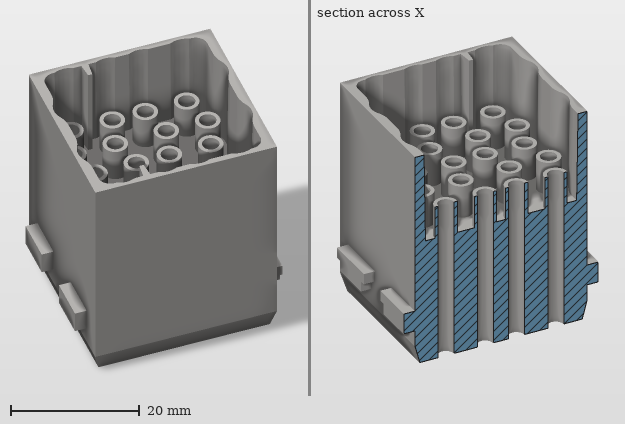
import cadquery as cq
import math

body_x = 29.3
body_y = 30.2
height = 37.55
foot_height = 3.15
foot_draft = 15.0

tab_depth = 1.95
tab_pitch = body_x / 2
tab_bottom = 5.97
tab_height = 3.68
tab_top = tab_bottom + tab_height
tab_width = 7.05
back_tab_head_width = 9.05

column_pitch = 5.3
inner_row_y = 2.75
outer_row_y = 9.6
stagger = 1.5
tube_diameter = 3.98
bore_diameter = 2.7
floor_z = 21.9
tube_top_z = 27.55

cavity_half_x = 13.63
cavity_half_y = 13.45
cavity_corner_radius = 1.9
cavity_draft = 0.9
side_relief_radius = 3.4
end_relief_radius = 3.3
relief_blend_radius = 4.5

rib_y = -6.15
rib_tip_x = 11.25
rib_base_width = 1.28
rib_tip_width = 0.7

cavity_depth = height - floor_z


def contact_positions():
    """Centres of the contact tubes, column by column."""
    points = []
    for column in range(-2, 3):
        shift = stagger if column % 2 else 0.0
        for row_y in (inner_row_y, outer_row_y):
            for side in (-1, 1):
                points.append((column * column_pitch, side * (row_y + shift)))
    return points


def make_body():
    """Rectangular block whose foot narrows towards the bottom."""
    foot = (
        cq.Workplane("XY")
        .workplane(offset=foot_height)
        .rect(body_x, body_y)
        .extrude(-foot_height, taper=foot_draft)
    )
    block = (
        cq.Workplane("XY")
        .workplane(offset=foot_height)
        .rect(body_x, body_y)
        .extrude(height - foot_height)
    )
    return block.union(foot)


def make_tabs(side, width, bottom):
    """Pair of tabs rising from a given height on one Y face; side is -1 for front, +1 for back."""
    return (
        cq.Workplane("XY")
        .workplane(offset=bottom)
        .pushPoints([(end * tab_pitch / 2, side * body_y / 2) for end in (-1, 1)])
        .rect(width, 2 * tab_depth)
        .extrude(tab_top - bottom)
    )


def end_relief(centre_x, centre_y):
    """Points along one smooth bulge of the +Y end wall, in order of rising X.

    An arc centred on the nearby tube is joined to the flat wall by two
    tangent arcs of the blend radius.
    """
    join = end_relief_radius + relief_blend_radius
    blend_y = cavity_half_y + relief_blend_radius
    half_span = math.sqrt(join**2 - (blend_y - centre_y) ** 2)
    share = end_relief_radius / join
    knee_x = half_span * share
    knee_y = centre_y + (blend_y - centre_y) * share
    half_angle = math.atan2(half_span, blend_y - centre_y) / 2
    middle_x = half_span - relief_blend_radius * math.sin(half_angle)
    middle_y = blend_y - relief_blend_radius * math.cos(half_angle)
    return [
        (centre_x - half_span, cavity_half_y),
        (centre_x - middle_x, middle_y),
        (centre_x - knee_x, knee_y),
        (centre_x, centre_y + end_relief_radius),
        (centre_x + knee_x, knee_y),
        (centre_x + middle_x, middle_y),
        (centre_x + half_span, cavity_half_y),
    ]


def make_cavity():
    """Drafted cavity with reliefs beside the outer tubes."""
    corner_x = cavity_half_x - cavity_corner_radius
    corner_y = cavity_half_y - cavity_corner_radius
    corner_bow = cavity_corner_radius * math.sqrt(0.5)
    relief_x = 2 * column_pitch
    relief_half = math.sqrt(side_relief_radius**2 - (cavity_half_x - relief_x) ** 2)

    outline = cq.Workplane("XY").workplane(offset=height).moveTo(-corner_x, cavity_half_y)
    for turn in (1, -1):
        for column in (-1, 1):
            points = [
                (x * turn, y * turn)
                for x, y in end_relief(column * column_pitch, outer_row_y + stagger)
            ]
            outline = outline.lineTo(*points[0])
            for index in (1, 3, 5):
                outline = outline.threePointArc(points[index], points[index + 1])
        outline = outline.lineTo(turn * corner_x, turn * cavity_half_y)
        outline = outline.threePointArc(
            (turn * (corner_x + corner_bow), turn * (corner_y + corner_bow)),
            (turn * cavity_half_x, turn * corner_y),
        )
        for row_y in (outer_row_y, inner_row_y, -inner_row_y, -outer_row_y):
            outline = outline.lineTo(turn * cavity_half_x, turn * (row_y + relief_half))
            outline = outline.threePointArc(
                (turn * (relief_x + side_relief_radius), turn * row_y),
                (turn * cavity_half_x, turn * (row_y - relief_half)),
            )
        outline = outline.lineTo(turn * cavity_half_x, -turn * corner_y)
        outline = outline.threePointArc(
            (turn * (corner_x + corner_bow), -turn * (corner_y + corner_bow)),
            (turn * corner_x, -turn * cavity_half_y),
        )
    return outline.close().extrude(-cavity_depth, taper=cavity_draft)


def make_rib(side):
    """Tapered guide rib on one X wall, running from floor to rim."""
    root_x = (cavity_half_x + body_x / 2) / 2
    return (
        cq.Workplane("XY")
        .workplane(offset=floor_z)
        .polyline(
            [
                (side * root_x, rib_y - rib_base_width / 2),
                (side * rib_tip_x, rib_y - rib_tip_width / 2),
                (side * rib_tip_x, rib_y + rib_tip_width / 2),
                (side * root_x, rib_y + rib_base_width / 2),
            ]
        )
        .close()
        .extrude(cavity_depth)
    )


def contact_cylinders(diameter, bottom, top):
    """One cylinder per contact position between two heights."""
    return (
        cq.Workplane("XY")
        .workplane(offset=bottom)
        .pushPoints(contact_positions())
        .circle(diameter / 2)
        .extrude(top - bottom)
    )


result = make_body().cut(make_cavity())
for side in (-1, 1):
    result = result.union(make_rib(side))
    result = result.union(make_tabs(side, tab_width, tab_bottom))
result = result.union(make_tabs(1, back_tab_head_width, tab_bottom + tab_height / 2))
result = result.union(contact_cylinders(tube_diameter, floor_z, tube_top_z))
result = result.cut(contact_cylinders(bore_diameter, 0, tube_top_z))